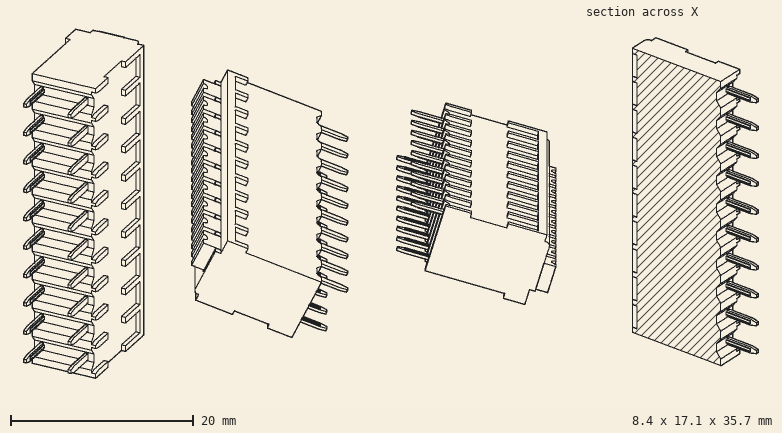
import cadquery as cq

CELL_COUNT = 10
PITCH = 3.5
TOTAL_HEIGHT = 35.7
TOTAL_WIDTH = 8.4
PIN_REACH = 3.5
BUTTON_REACH = 13.65

LEFT_WALL = 0.57
RIGHT_WALL = 7.9
SHOULDER_Y = 11.55
RIB_HEIGHT = 0.7
LIP_Y = 10.6
LEFT_RIB_Y = 9.1
RIGHT_RIB_Y = 7.15
FOOT_DEPTH = 2.95
FOOT_TIP_HEIGHT = 0.35
FOOT_TAPER = 0.65

CAP_LEFT = 1.8
CAP_RIGHT = 7.6
CAP_Y = 12.2
CAP_RADIUS = 0.5
SLOT_CLEARANCE = 0.07
SLOT_CHAMFER = 0.1

BUTTON_WIDTH = 3.15
BUTTON_HEIGHT = 2.68
BUTTON_NOTCH_RADIUS = 0.5

GROOVE_DEPTH = 0.57
GROOVE_MOUTH = 2.45
GROOVE_FLOOR = 1.05

PIN_THICKNESS = 0.35
PIN_HEIGHT = 0.8
PIN_TIP_HEIGHT = 0.4
PIN_TIP_LENGTH = 0.82
PIN_INSET = 0.75
RIDGE_THICKNESS = 0.1
RIDGE_HEIGHT = 0.35

cell_centers = [TOTAL_HEIGHT / 2 + (i - (CELL_COUNT - 1) / 2) * PITCH for i in range(CELL_COUNT)]
cell_boundaries = [TOTAL_HEIGHT / 2 + (i - CELL_COUNT / 2) * PITCH for i in range(CELL_COUNT + 1)]


def block(x0, x1, y0, y1, z0, z1):
    """Box between the given limits."""
    return cq.Workplane("XY").box(x1 - x0, y1 - y0, z1 - z0, centered=False).translate((x0, y0, z0))


def side_prism(points, x0, x1):
    """Prism along X from an outline of (Y, Z) points."""
    return cq.Workplane("YZ").workplane(offset=x0).polyline(points).close().extrude(x1 - x0)


def make_housing():
    """Main body with the rounded rear cap and the continuous side lips."""
    core = block(LEFT_WALL, RIGHT_WALL, 0, SHOULDER_Y, 0, TOTAL_HEIGHT)
    lips = block(0, TOTAL_WIDTH, LIP_Y, SHOULDER_Y, 0, TOTAL_HEIGHT)
    cap = block(CAP_LEFT, CAP_RIGHT, LIP_Y, CAP_Y, 0, TOTAL_HEIGHT)
    cap = cap.edges("|Z and >X and >Y").fillet(CAP_RADIUS)
    return core.union(lips).union(cap)


def make_boundary_ribs(z):
    """Left rib, right rib and tapered right foot at one cell boundary."""
    bottom = max(0, z - RIB_HEIGHT / 2)
    top = min(TOTAL_HEIGHT, z + RIB_HEIGHT / 2)
    left_rib = block(0, LEFT_WALL, LEFT_RIB_Y, LIP_Y, bottom, top)
    right_rib = block(RIGHT_WALL, TOTAL_WIDTH, RIGHT_RIB_Y, LIP_Y, bottom, top)
    tip_bottom = z - FOOT_TIP_HEIGHT / 2 if z > PITCH / 2 else bottom
    tip_top = z + FOOT_TIP_HEIGHT / 2 if z < TOTAL_HEIGHT - PITCH / 2 else top
    foot_outline = [
        (0, tip_bottom),
        (FOOT_TAPER, bottom),
        (FOOT_DEPTH, bottom),
        (FOOT_DEPTH, top),
        (FOOT_TAPER, top),
        (0, tip_top),
    ]
    foot = side_prism(foot_outline, RIGHT_WALL, TOTAL_WIDTH)
    return [left_rib, right_rib, foot]


def make_groove(z):
    """Trapezoidal groove across the front face."""
    outline = [
        (0, z - GROOVE_MOUTH / 2),
        (GROOVE_DEPTH, z - GROOVE_FLOOR / 2),
        (GROOVE_DEPTH, z + GROOVE_FLOOR / 2),
        (0, z + GROOVE_MOUTH / 2),
    ]
    return side_prism(outline, LEFT_WALL, RIGHT_WALL)


def make_button_slot(z):
    """Slot in the cap around a button, open to the left, with a chamfered mouth."""
    half = BUTTON_HEIGHT / 2 + SLOT_CLEARANCE
    mouth_half = half + SLOT_CHAMFER
    outline = [
        (SHOULDER_Y, z - half),
        (CAP_Y - SLOT_CHAMFER, z - half),
        (CAP_Y, z - mouth_half),
        (CAP_Y, z + mouth_half),
        (CAP_Y - SLOT_CHAMFER, z + half),
        (SHOULDER_Y, z + half),
    ]
    return side_prism(outline, CAP_LEFT, CAP_LEFT + BUTTON_WIDTH + SLOT_CLEARANCE)


def make_button(z):
    """Push button with a round notch across its end."""
    right = CAP_LEFT + BUTTON_WIDTH
    button = block(CAP_LEFT, right, LIP_Y, BUTTON_REACH, z - BUTTON_HEIGHT / 2, z + BUTTON_HEIGHT / 2)
    notch = (
        cq.Workplane("YZ").workplane(offset=CAP_LEFT)
        .center(BUTTON_REACH, z).circle(BUTTON_NOTCH_RADIUS).extrude(BUTTON_WIDTH)
    )
    return button.cut(notch)


def make_pin(z, outer_x, inward):
    """Flat pin with a tapered tip and a ridge on its inner face; inward is +1 or -1 along X."""
    shoulder = PIN_TIP_LENGTH - PIN_REACH
    root = GROOVE_DEPTH + PIN_THICKNESS
    inner_x = outer_x + inward * PIN_THICKNESS
    ridge_x = inner_x + inward * RIDGE_THICKNESS
    outline = [
        (root, z - PIN_HEIGHT / 2),
        (shoulder, z - PIN_HEIGHT / 2),
        (-PIN_REACH, z - PIN_TIP_HEIGHT / 2),
        (-PIN_REACH, z + PIN_TIP_HEIGHT / 2),
        (shoulder, z + PIN_HEIGHT / 2),
        (root, z + PIN_HEIGHT / 2),
    ]
    plate = side_prism(outline, min(outer_x, inner_x), max(outer_x, inner_x))
    ridge = block(
        min(outer_x, ridge_x), max(outer_x, ridge_x), shoulder, root,
        z - RIDGE_HEIGHT / 2, z + RIDGE_HEIGHT / 2,
    )
    return plate.union(ridge)


result = make_housing()

for boundary in cell_boundaries:
    for rib in make_boundary_ribs(boundary):
        result = result.union(rib)

for center in cell_centers:
    result = result.cut(make_groove(center)).cut(make_button_slot(center))
    result = result.union(make_button(center))
    result = result.union(make_pin(center, LEFT_WALL + PIN_INSET, 1))
    result = result.union(make_pin(center, RIGHT_WALL - PIN_INSET, -1))